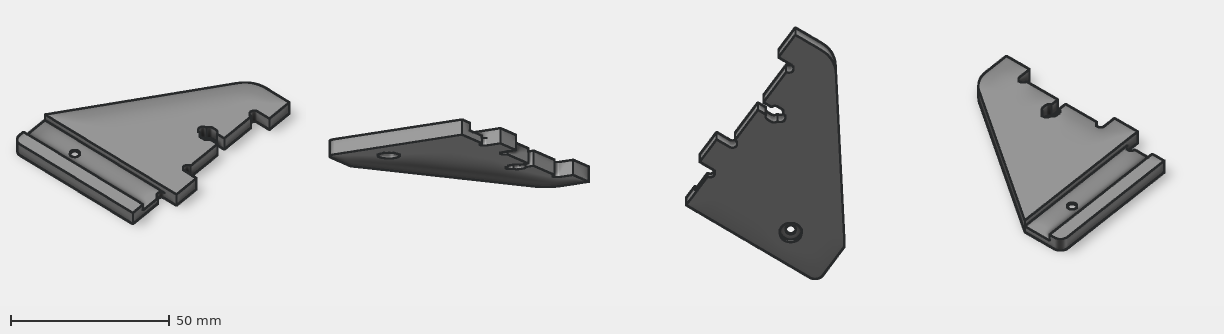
import cadquery as cq
import math

body_width = 50.0
plate_depth = 70.0
thickness = 5.0
front_corner_radius = 3.0
back_corner_radius = 10.0
back_corner_x = 45.0

rail_depth = 5.0
groove_width = 10.3
groove_floor = 2.5
groove_back = rail_depth + groove_width

tab_length = 5.0
tab_width = 9.7
front_tab_y = groove_back
back_tab_y = plate_depth - tab_width

screw_diameter = 3.2
screw_radius = screw_diameter / 2
hole_x = 17.0
hole_y = rail_depth + groove_width / 2
counterbore_radius = 3.5
counterbore_depth = 1.8

slot_y = (front_tab_y + back_tab_y + tab_width) / 2
slot_end_x = 42.5
nut_x = 44.75
nut_length = 4.5
nut_width = 5.6
nut_corner_radius = 1.6

relief_radius = 1.5


def plate_body():
    """Full-height plate with its slanted side tangent to the back corner arc."""
    center_y = plate_depth - back_corner_radius
    rise = center_y - groove_back
    center_distance = math.hypot(back_corner_x, rise)
    slant = math.atan2(rise, back_corner_x) + math.asin(back_corner_radius / center_distance)

    def arc_point(angle):
        return (
            back_corner_x + back_corner_radius * math.cos(angle),
            center_y + back_corner_radius * math.sin(angle),
        )

    arc_start = slant + math.pi / 2
    arc_end = math.pi / 2
    return (
        cq.Workplane("XY")
        .moveTo(0, 0)
        .lineTo(body_width, 0)
        .lineTo(body_width, plate_depth)
        .lineTo(*arc_point(arc_end))
        .threePointArc(arc_point((arc_start + arc_end) / 2), arc_point(arc_start))
        .lineTo(0, groove_back)
        .close()
        .extrude(thickness)
        .edges("|Z and <X and <Y")
        .fillet(front_corner_radius)
    )


def block(x, y, z, length, width, height):
    """Box placed by its lowest corner."""
    return cq.Workplane("XY").box(length, width, height, centered=False).translate((x, y, z))


def cylinder(x, y, radius, height=thickness):
    """Upright cylinder standing on the underside of the plate."""
    return cq.Workplane("XY").center(x, y).circle(radius).extrude(height)


def tabs():
    """Both tabs, standing out from the +X edge."""
    front_tab = block(body_width, front_tab_y, 0, tab_length, tab_width, thickness)
    back_tab = block(body_width, back_tab_y, 0, tab_length, tab_width, thickness)
    return front_tab.union(back_tab)


def tab_reliefs():
    """Round reliefs on the +X edge at the inside corners of the tabs."""
    relief_centers = [
        front_tab_y - relief_radius,
        front_tab_y + tab_width + relief_radius,
        back_tab_y - relief_radius,
    ]
    reliefs = cq.Workplane("XY")
    for center_y in relief_centers:
        reliefs = reliefs.add(cylinder(body_width, center_y, relief_radius))
    return reliefs.combine()


def groove():
    """Groove along X, open at both ends."""
    groove_depth = thickness - groove_floor
    return block(0, rail_depth, groove_floor, body_width, groove_width, groove_depth)


def screw_hole():
    """Screw hole with its counterbore on the underside."""
    counterbore = cylinder(hole_x, hole_y, counterbore_radius, counterbore_depth)
    return cylinder(hole_x, hole_y, screw_radius).union(counterbore)


def nut_slot():
    """Screw slot open to the +X edge, with a rounded nut trap across it."""
    slot_length = body_width - slot_end_x
    slot = block(slot_end_x, slot_y - screw_radius, 0, slot_length, screw_diameter, thickness)
    trap = (
        cq.Workplane("XY")
        .center(nut_x, slot_y)
        .rect(nut_length, nut_width)
        .extrude(thickness)
        .edges("|Z")
        .fillet(nut_corner_radius)
    )
    return slot.union(cylinder(slot_end_x, slot_y, screw_radius)).union(trap)


result = (
    plate_body()
    .union(tabs())
    .cut(tab_reliefs())
    .cut(nut_slot())
    .cut(groove())
    .cut(screw_hole())
)